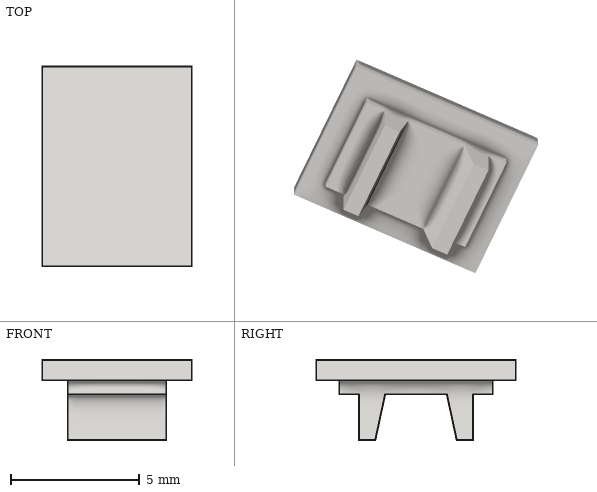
import cadquery as cq

plate_width = 5.85
plate_length = 7.8
plate_thickness = 0.8

step_width = 3.85
step_length = 6.0
step_thickness = 0.55

total_height = 3.13
leg_outer_span = 4.45
leg_root_gap = 2.4
leg_tip_gap = 3.17

plate_bottom = total_height - plate_thickness
step_bottom = plate_bottom - step_thickness


def make_plate():
    return (
        cq.Workplane("XY")
        .workplane(offset=plate_bottom)
        .rect(plate_width, plate_length)
        .extrude(plate_thickness)
    )


def make_step():
    return (
        cq.Workplane("XY")
        .workplane(offset=step_bottom)
        .rect(step_width, step_length)
        .extrude(step_thickness)
    )


def make_leg(side):
    """Leg on the +Y side (side = 1) or the -Y side (side = -1)."""
    outer_y = side * leg_outer_span / 2
    root_y = side * leg_root_gap / 2
    tip_y = side * leg_tip_gap / 2
    profile = [
        (outer_y, 0),
        (outer_y, step_bottom),
        (root_y, step_bottom),
        (tip_y, 0),
    ]
    return (
        cq.Workplane("YZ")
        .polyline(profile)
        .close()
        .extrude(step_width / 2, both=True)
    )


result = make_plate().union(make_step())
for side in (1, -1):
    result = result.union(make_leg(side))